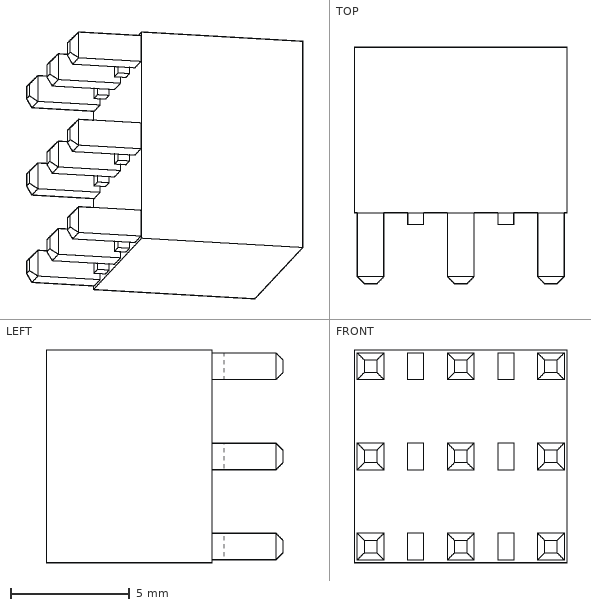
import cadquery as cq

housing_side = 9.0
housing_depth = 7.0

pin_pitch = 3.81
pin_side = 1.13
pin_length = 3.0
tip_bevel = 0.3

standoff_width = 0.68
standoff_height = pin_side
standoff_length = 0.5

rows = [-pin_pitch, 0, pin_pitch]
pin_columns = [-pin_pitch, 0, pin_pitch]
standoff_columns = [-pin_pitch / 2, pin_pitch / 2]


def make_housing():
    return cq.Workplane("XZ").rect(housing_side, housing_side).extrude(-housing_depth)


def make_posts(columns, width, height, length):
    """Rectangular posts standing out of the pin face, one per column in every row."""
    centres = [(x, z) for z in rows for x in columns]
    return cq.Workplane("XZ").pushPoints(centres).rect(width, height).extrude(length)


housing = make_housing()
pins = make_posts(pin_columns, pin_side, pin_side, pin_length).faces("<Y").chamfer(tip_bevel)
standoffs = make_posts(standoff_columns, standoff_width, standoff_height, standoff_length)

result = housing.union(pins).union(standoffs)